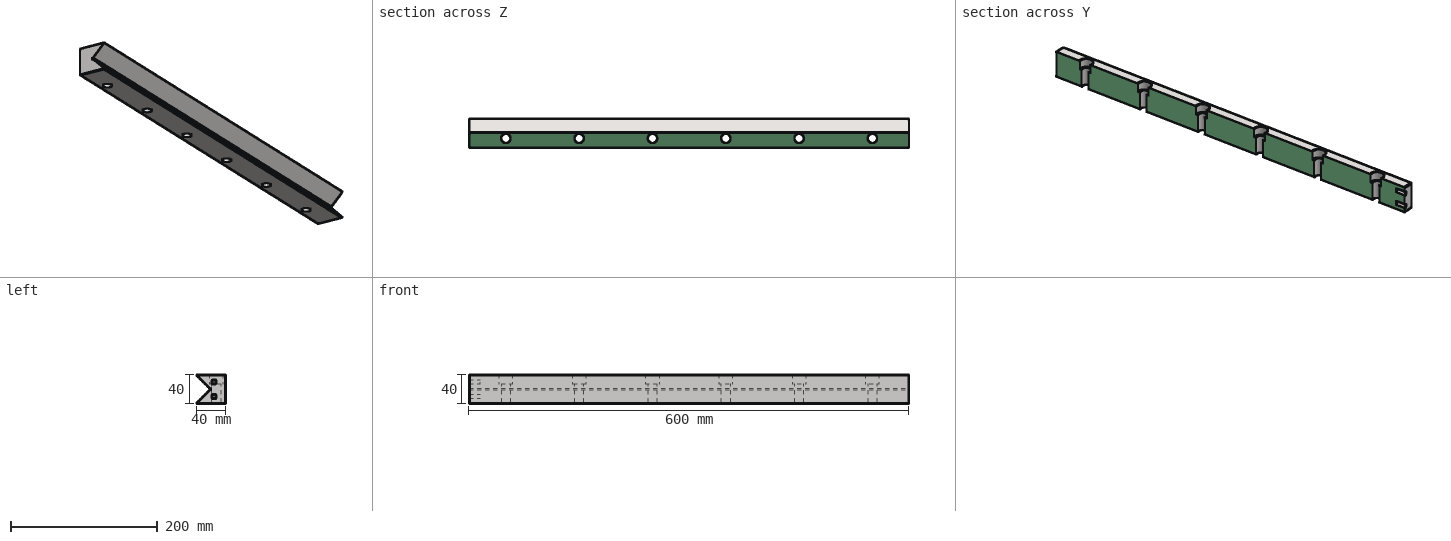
import cadquery as cq

length = 600.0
width = 40.0
height = 40.0
edge_chamfer = 1.0
chamfer_angle = 45.0

v_depth = height / 2 - edge_chamfer
relief_width = 2.0
relief_depth = 0.5

hole_pitch = 100.0
hole_count = 6
hole_y = -7.0
hole_diameter = 12.5
counterbore_diameter = 18.5
counterbore_depth = 13.0
counterbore_mouth_diameter = 20.0

end_hole_diameter = 5.25
end_hole_mouth_diameter = 7.0
end_hole_depth = 15.0
end_hole_y = -4.0
end_hole_spacing = 20.0


def make_body():
    """Bar with its long edges and both ends chamfered."""
    body = cq.Workplane("XY").box(length, width, height)
    body = body.edges("|X").chamfer(edge_chamfer)
    return body.faces("<X or >X").chamfer(edge_chamfer)


def make_v_groove():
    """Full-length V cutter, plus the narrow relief slot at its root."""
    mouth_y = width / 2
    root_y = mouth_y - v_depth
    v_cutter = (
        cq.Workplane("YZ")
        .moveTo(mouth_y, v_depth)
        .lineTo(root_y, 0)
        .lineTo(mouth_y, -v_depth)
        .close()
        .extrude(length / 2, both=True)
    )
    slot_bottom_y = root_y - relief_depth
    slot = (
        cq.Workplane("YZ")
        .center((slot_bottom_y + mouth_y) / 2, 0)
        .rect(mouth_y - slot_bottom_y, relief_width)
        .extrude(length / 2, both=True)
    )
    return v_cutter.union(slot)


def cut_mounting_holes(body):
    """Row of through holes counterbored from the top, with 45 degree chamfered mouths."""
    hole_row = (
        cq.Workplane("XY", origin=(0, hole_y, height / 2))
        .rarray(hole_pitch, 1, hole_count, 1)
    )
    mouth_depth = (counterbore_mouth_diameter - counterbore_diameter) / 2
    through_holes = hole_row.circle(hole_diameter / 2).extrude(-height)
    counterbores = hole_row.circle(counterbore_diameter / 2).extrude(-counterbore_depth)
    mouths = hole_row.circle(counterbore_mouth_diameter / 2).extrude(-mouth_depth, taper=chamfer_angle)
    return body.cut(through_holes).cut(counterbores).cut(mouths)


def make_end_hole(z):
    """Blind hole with a 45 degree countersunk mouth, in the -X end face."""
    end_face = cq.Workplane("YZ", origin=(-length / 2, end_hole_y, z))
    hole = end_face.circle(end_hole_diameter / 2).extrude(end_hole_depth)
    mouth_depth = (end_hole_mouth_diameter - end_hole_diameter) / 2
    mouth = end_face.circle(end_hole_mouth_diameter / 2).extrude(mouth_depth, taper=chamfer_angle)
    return hole.union(mouth)


result = make_body().cut(make_v_groove())
result = cut_mounting_holes(result)
for side in (-1, 1):
    result = result.cut(make_end_hole(side * end_hole_spacing / 2))